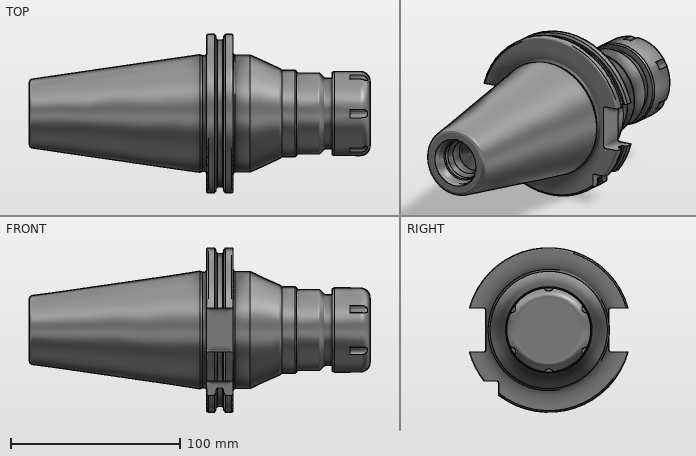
import cadquery as cq
import math

total_length = 201.5

taper_ratio = 7 / 24
gauge_x = 100.8
gauge_radius = 34.9
taper_tip_radius = gauge_radius - gauge_x * taper_ratio / 2
tip_round = 2.2
relief_x = 102.5
neck_radius = 34.3

flange_start = 104.8
flange_end = 120.5
flange_diameter = 97.4
flange_radius = flange_diameter / 2
flange_edge_round = 1.0
flange_root_round = 1.2
groove_center_x = 112.7
groove_mouth_half_width = 3.2
groove_slot_half_width = 2.2
groove_flank_depth = 1.5
groove_floor_radius = 45.4
groove_floor_chamfer = 0.8

drive_slot_half_width = 13.0
drive_slot_floor_plus_y = 35.5
drive_slot_floor_minus_y = 37.3
drive_slot_corner_round = 1.2
notch_y = -29.6
notch_z = -30.2
notch_corner_round = 1.2

body_radius = 34.7
body_cone_start = 130.6
body_cone_end = 148.2
body_cone_end_radius = 26.6
collar_start = 149.4
collar_radius = 25.6
collar_end = 158.0
collar_chamfer = 0.8
nose_radius = 24.0
nose_root_round = 1.2
nose_cone_start = 171.5
nose_cone_end = 174.5
spigot_radius = 21.0
nose_cone_round = 1.0

rim_tolerance = 0.2

mouth_radius = 14.3
mouth_taper_end = 3.8
mouth_taper_end_radius = 14.0
countersink_end = 7.3
countersink_end_radius = 12.5
thread_start = 7.9
thread_end = 10.5
thread_radius = 11.9
thread_end_chamfer = 0.5
thread_runout_start = 11.5
drill_start = 13.3
drill_radius = 10.0
drill_end = 20.2
drill_tip_half_angle = 59.0

nut_start = 179.0
nut_radius = 25.0
nut_chamfer_length = 1.5
nut_chamfer_depth = 0.6
nut_front_round = 6.0
wrench_slot_count = 6
wrench_slot_start = 189.5
wrench_slot_cutter_radius = 2.6
wrench_slot_axis_offset = 0.6


def revolve_about_x(outline):
    """Close an outline drawn as (x, radius) and turn it about the X axis."""
    return outline.close().revolve(360, (0, 0, 0), (1, 0, 0))


def round_rim(body, rim_x, radius):
    """Round the circular edge that lies in the plane X = rim_x."""
    reach = flange_radius
    slab = cq.selectors.BoxSelector(
        (rim_x - rim_tolerance, -reach, -reach), (rim_x + rim_tolerance, reach, reach), boundingbox=True
    )
    return body.edges(slab).fillet(radius)


def holder_blank():
    """Solid of revolution of the holder, without its flange cuts and bore."""
    outline = (
        cq.Workplane("XY")
        .lineTo(0, taper_tip_radius)
        .lineTo(gauge_x, gauge_radius)
        .lineTo(relief_x, neck_radius)
        .lineTo(flange_start - flange_root_round, neck_radius)
        .radiusArc((flange_start, neck_radius + flange_root_round), -flange_root_round)
        .lineTo(flange_start, flange_radius - flange_edge_round)
        .radiusArc((flange_start + flange_edge_round, flange_radius), flange_edge_round)
        .lineTo(flange_end - flange_edge_round, flange_radius)
        .radiusArc((flange_end, flange_radius - flange_edge_round), flange_edge_round)
        .lineTo(flange_end, body_radius + flange_root_round)
        .radiusArc((flange_end + flange_root_round, body_radius), -flange_root_round)
        .lineTo(body_cone_start, body_radius)
        .lineTo(body_cone_end, body_cone_end_radius)
        .lineTo(collar_start, collar_radius)
        .lineTo(collar_end - collar_chamfer, collar_radius)
        .lineTo(collar_end, collar_radius - collar_chamfer)
        .lineTo(collar_end, nose_radius + nose_root_round)
        .radiusArc((collar_end + nose_root_round, nose_radius), -nose_root_round)
        .lineTo(nose_cone_start, nose_radius)
        .lineTo(nose_cone_end, spigot_radius)
        .lineTo(nut_start, spigot_radius)
        .lineTo(nut_start, 0)
    )
    blank = revolve_about_x(outline)
    blank = blank.faces("<X").edges().fillet(tip_round)
    for rim_x in (nose_cone_start, nose_cone_end):
        blank = round_rim(blank, rim_x, nose_cone_round)
    return blank


def gripper_groove():
    """Ring cutter: V flanks leading into a straight slot with a chamfered floor."""
    flank_radius = flange_radius - groove_flank_depth
    floor_half_width = groove_slot_half_width - groove_floor_chamfer
    right_side = [
        (groove_mouth_half_width, flange_radius),
        (groove_slot_half_width, flank_radius),
        (groove_slot_half_width, groove_floor_radius + groove_floor_chamfer),
        (floor_half_width, groove_floor_radius),
    ]
    left_side = [(-offset, radius) for offset, radius in reversed(right_side)]
    points = [(groove_center_x + offset, radius) for offset, radius in right_side + left_side]
    return revolve_about_x(cq.Workplane("XY").polyline(points))


def flange_block(y_min, y_max, z_min, z_max):
    """Box across the full flange width."""
    width = flange_end - flange_start
    block = cq.Workplane("XY").box(width, y_max - y_min, z_max - z_min, centered=False)
    return block.translate((flange_start, y_min, z_min))


def drive_slots():
    """Two opposite drive slots with different floor distances and rounded floor corners."""
    half = drive_slot_half_width
    plus_y = flange_block(drive_slot_floor_plus_y, flange_radius, -half, half)
    plus_y = plus_y.edges("|X and <Y").fillet(drive_slot_corner_round)
    minus_y = flange_block(-flange_radius, -drive_slot_floor_minus_y, -half, half)
    minus_y = minus_y.edges("|X and >Y").fillet(drive_slot_corner_round)
    return plus_y.add(minus_y).combine()


def orientation_notch():
    """Square notch in the flange rim at -Y -Z, with a rounded inner corner."""
    notch = flange_block(-flange_radius, notch_y, -flange_radius, notch_z)
    return notch.edges("|X and >Y and >Z").fillet(notch_corner_round)


def drawbar_bore():
    """Stepped blind bore with a drill-point end."""
    drill_tip_x = drill_end + drill_radius / math.tan(math.radians(drill_tip_half_angle))
    points = [
        (0, 0),
        (0, mouth_radius),
        (mouth_taper_end, mouth_taper_end_radius),
        (countersink_end, countersink_end_radius),
        (thread_start, thread_radius),
        (thread_end, thread_radius),
        (thread_runout_start, thread_radius - thread_end_chamfer),
        (drill_start, drill_radius),
        (drill_end, drill_radius),
        (drill_tip_x, 0),
    ]
    return revolve_about_x(cq.Workplane("XY").polyline(points))


def make_holder():
    """Taper holder: turned blank with its groove, flange cuts and bore removed."""
    holder = holder_blank().cut(gripper_groove()).cut(drive_slots())
    return holder.cut(orientation_notch()).cut(drawbar_bore())


def make_nut():
    """Clamping nut butting against the spigot face, with wrench slots around its front rim."""
    outline = (
        cq.Workplane("XY")
        .moveTo(nut_start, 0)
        .lineTo(nut_start, nut_radius - nut_chamfer_depth)
        .lineTo(nut_start + nut_chamfer_length, nut_radius)
        .lineTo(total_length - nut_front_round, nut_radius)
        .radiusArc((total_length, nut_radius - nut_front_round), nut_front_round)
        .lineTo(total_length, 0)
    )
    nut = revolve_about_x(outline)
    slot_cutter = (
        cq.Workplane("YZ", origin=(wrench_slot_start, 0, 0))
        .center(0, nut_radius + wrench_slot_axis_offset)
        .circle(wrench_slot_cutter_radius)
        .extrude(total_length - wrench_slot_start)
    )
    for index in range(wrench_slot_count):
        angle = index * 360 / wrench_slot_count
        nut = nut.cut(slot_cutter.rotate((0, 0, 0), (1, 0, 0), angle))
    return nut


holder = make_holder()
nut = make_nut()
result = cq.Compound.makeCompound([holder.val(), nut.val()])